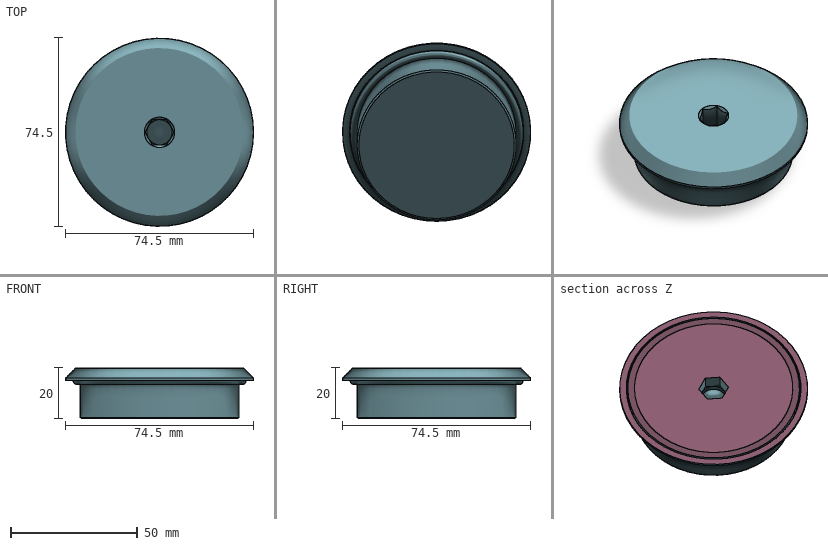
import cadquery as cq
import math

flange_diameter = 74.5
shank_diameter = 63.0
total_height = 20.0
flange_thickness = 5.0
flange_chamfer = 4.0
top_edge_fillet = 0.25
shank_chamfer_width = 0.75
shank_chamfer_angle = 30.0

hex_across_flats = 10.0
hex_depth = 10.0
mouth_diameter = 12.0
mouth_angle = 90.0
relief_diameter = hex_across_flats
relief_depth = 2.0

seal_inner_diameter = 62.5
seal_section_diameter = 3.0
groove_outer_diameter = 69.0

flange_radius = flange_diameter / 2
shank_radius = shank_diameter / 2
flange_underside = -flange_thickness
shank_chamfer_height = shank_chamfer_width * math.tan(math.radians(shank_chamfer_angle))
seal_section_radius = seal_section_diameter / 2
seal_inner_radius = seal_inner_diameter / 2
seal_centre_radius = seal_inner_radius + seal_section_radius
groove_outer_radius = groove_outer_diameter / 2
groove_floor = flange_underside + seal_section_radius


def make_plug_blank():
    """Turned flange and shank, with a seal groove in the flange and a shallow seal seat in the shank."""
    seat_half_height = math.sqrt(seal_section_radius**2 - (seal_centre_radius - shank_radius) ** 2)
    profile = (
        cq.Workplane("XZ")
        .moveTo(0, 0)
        .lineTo(flange_radius - flange_chamfer, 0)
        .lineTo(flange_radius, -flange_chamfer)
        .lineTo(flange_radius, flange_underside)
        .lineTo(groove_outer_radius, flange_underside)
        .lineTo(groove_outer_radius, groove_floor)
        .lineTo(shank_radius, groove_floor)
        .lineTo(shank_radius, flange_underside + seat_half_height)
        .threePointArc(
            (seal_inner_radius, flange_underside),
            (shank_radius, flange_underside - seat_half_height),
        )
        .lineTo(shank_radius, shank_chamfer_height - total_height)
        .lineTo(shank_radius - shank_chamfer_width, -total_height)
        .lineTo(0, -total_height)
        .close()
    )
    blank = profile.revolve(360, (0, 0, 0), (0, 1, 0))
    return blank.faces(">Z").edges().fillet(top_edge_fillet)


def cut_hex_socket(body):
    """Hexagon socket with corners on the X axis, a round relief below and a conical mouth."""
    hex_across_corners = hex_across_flats / math.cos(math.pi / 6)
    hexagon = cq.Workplane("XY").polygon(6, hex_across_corners).extrude(-hex_depth)
    relief = (
        cq.Workplane("XY")
        .workplane(offset=-hex_depth)
        .circle(relief_diameter / 2)
        .extrude(-relief_depth)
    )
    mouth_radius = mouth_diameter / 2
    cone_depth = mouth_radius / math.tan(math.radians(mouth_angle / 2))
    mouth = (
        cq.Workplane("XZ")
        .polyline([(0, 0), (mouth_radius, 0), (0, -cone_depth)])
        .close()
        .revolve(360, (0, 0, 0), (0, 1, 0))
    )
    return body.cut(hexagon).cut(relief).cut(mouth)


def make_seal_ring():
    """Round-section ring around the shank, centred on the flange underside."""
    return (
        cq.Workplane("XZ")
        .center(seal_centre_radius, flange_underside)
        .circle(seal_section_radius)
        .revolve(360, (-seal_centre_radius, 0, 0), (-seal_centre_radius, 1, 0))
    )


plug = cut_hex_socket(make_plug_blank())
seal_ring = make_seal_ring()

result = cq.Compound.makeCompound([plug.val(), seal_ring.val()])